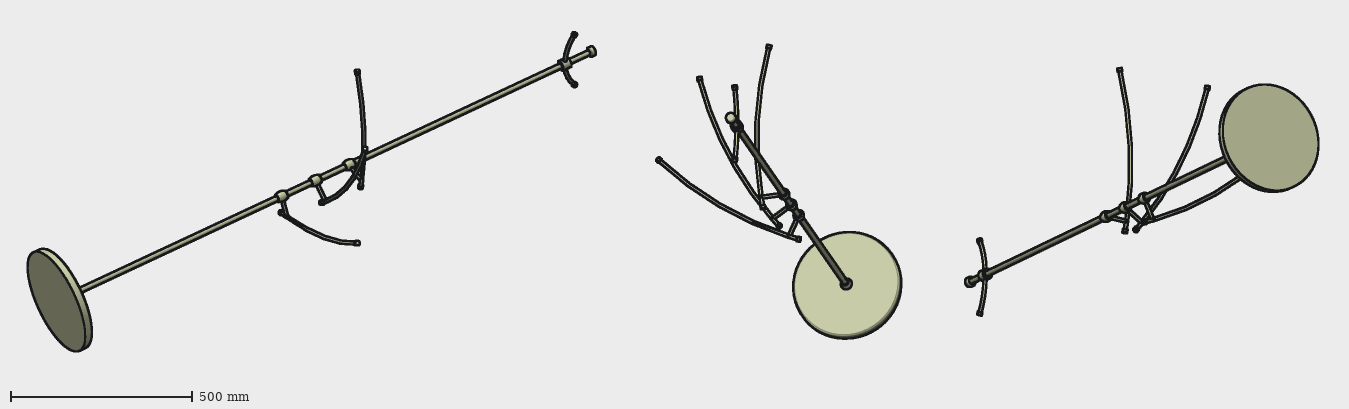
import cadquery as cq

total_length = 1750.0
base_radius = 150.0
base_thickness = 25.0
base_edge_round = 5.0
pole_radius = 7.9
foot_height = 23.0
foot_bottom_radius = 15.0
foot_top_radius = 10.0
knob_radius = 14.0
knob_length = 15.0
knob_round = 4.0

rod_radius = 4.9
cap_radius = 7.0
cap_length = 9.0

first_arm_y = 733.0
arm_spacing = 110.0
first_arm_angle = 25.0
arm_angle_step = 30.0
arm_offset = 63.0
arm_heel = (-33.0, -61.0)
arm_middle = (140.0, -65.0)
arm_tips = ((435.0, -2.0), (458.0, 5.0), (430.0, -4.0))
hub_half_length = 14.9
hub_middle_radius = 14.9
hub_end_radius = 11.4

hook_y = 1655.0
hook_rise = 33.0
hook_half_span = 107.0
collar_radius = 14.9
collar_length = 26.0


def cylinder_along_y(radius, start, length):
    """Solid cylinder around the pole axis, from Y = start towards +Y."""
    return cq.Workplane(cq.Solid.makeCylinder(radius, length, cq.Vector(0, start, 0), cq.Vector(0, 1, 0)))


def capped_rod(start, middle, end):
    """Round rod along the arc through three points, with a cap on each end."""
    arc = cq.Edge.makeThreePointArc(start, middle, end)
    start_direction = arc.tangentAt(0)
    end_direction = arc.tangentAt(1)
    section_plane = cq.Plane(origin=start, normal=start_direction)
    path = cq.Workplane(cq.Wire.assembleEdges([arc]))
    rod = cq.Workplane(section_plane).circle(rod_radius).sweep(path)
    start_cap = cq.Solid.makeCylinder(cap_radius, cap_length, start, start_direction)
    end_cap = cq.Solid.makeCylinder(cap_radius, cap_length, end, end_direction * -1)
    return rod.union(cq.Workplane(start_cap)).union(cq.Workplane(end_cap))


def make_stand():
    """Round base, flared foot, pole and top knob in one piece."""
    base = cylinder_along_y(base_radius, 0, base_thickness).faces(">Y").edges().fillet(base_edge_round)
    foot = cq.Workplane(cq.Solid.makeCone(
        foot_bottom_radius, foot_top_radius, foot_height,
        cq.Vector(0, base_thickness, 0), cq.Vector(0, 1, 0),
    ))
    pole = cylinder_along_y(pole_radius, 0, total_length)
    knob = cylinder_along_y(knob_radius, total_length - knob_length, knob_length).edges().fillet(knob_round)
    return base.union(foot).union(pole).union(knob)


def make_arm(y, angle, tip):
    """Barrel hub on the pole, with a stem out to a long curved rod."""
    hub = (
        cq.Workplane("XY")
        .moveTo(0, -hub_half_length)
        .lineTo(hub_end_radius, -hub_half_length)
        .threePointArc((hub_middle_radius, 0), (hub_end_radius, hub_half_length))
        .lineTo(0, hub_half_length)
        .close()
        .revolve(360, (0, 0, 0), (0, 1, 0))
    )
    stem = cq.Workplane(cq.Solid.makeCylinder(rod_radius, arm_offset, cq.Vector(0, 0, 0), cq.Vector(0, 0, -1)))
    start, middle, end = [cq.Vector(x, 0, z) for x, z in (arm_heel, arm_middle, tip)]
    rod = capped_rod(start, middle, end)
    bore = cylinder_along_y(pole_radius, -hub_half_length, 2 * hub_half_length)
    arm = hub.union(stem).union(rod).cut(bore)
    return arm.rotate((0, 0, 0), (0, 1, 0), -angle).translate((0, y, 0))


def make_hook():
    """Collar on the pole carrying a bow with one tip above and one below."""
    collar = cylinder_along_y(collar_radius, hook_y - collar_length / 2, collar_length)
    bow = capped_rod(
        cq.Vector(0, hook_y + hook_rise, -hook_half_span),
        cq.Vector(0, hook_y, 0),
        cq.Vector(0, hook_y + hook_rise, hook_half_span),
    )
    return collar.union(bow).cut(cylinder_along_y(pole_radius, 0, total_length))


stand = make_stand()
arms = [
    make_arm(first_arm_y + i * arm_spacing, first_arm_angle + i * arm_angle_step, tip)
    for i, tip in enumerate(arm_tips)
]
hook = make_hook()

result = cq.Compound.makeCompound([stand.val(), *[arm.val() for arm in arms], hook.val()])